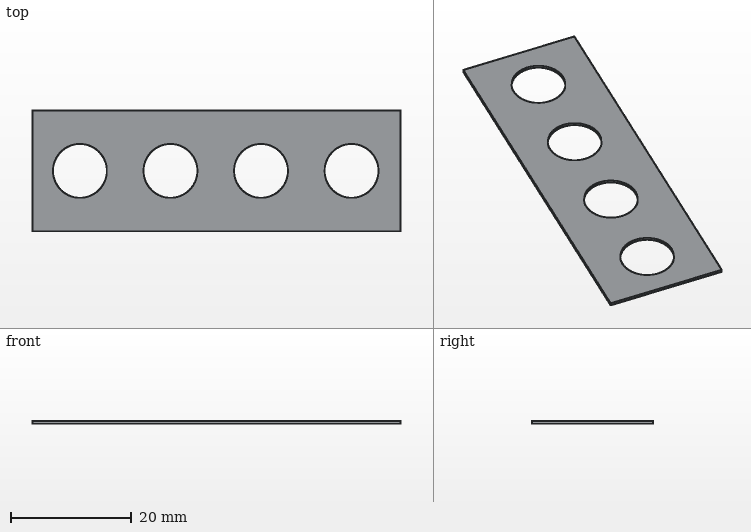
import cadquery as cq

length = 60.96
width = 20.066
thickness = 0.5

hole_diameter = 8.89
hole_count = 4
hole_pitch = 14.986
first_hole_from_left_end = 7.874


def make_plate():
    return cq.Workplane("XY").box(length, width, thickness, centered=(True, True, False))


def cut_holes(plate):
    first_hole_x = first_hole_from_left_end - length / 2
    centres = [(first_hole_x + i * hole_pitch, 0) for i in range(hole_count)]
    return (
        plate.faces(">Z")
        .workplane(origin=(0, 0, thickness))
        .pushPoints(centres)
        .hole(hole_diameter)
    )


result = cut_holes(make_plate())